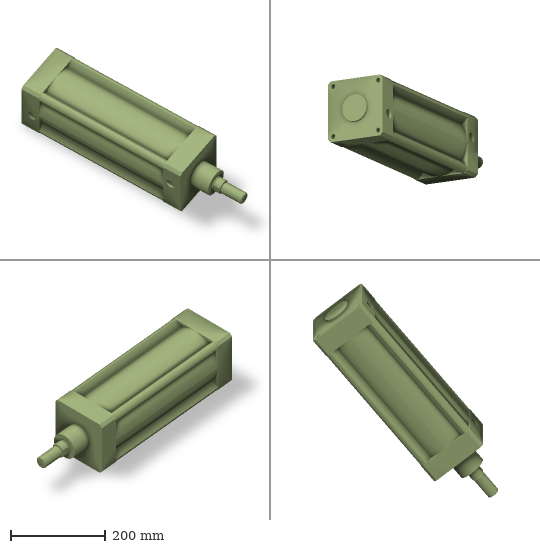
import cadquery as cq

overall_length = 535.0

cap_width = 134.0
cap_length = 45.0
cap_corner_radius = 90.0
boss_radius = 30.0
boss_chamfer = 1.0
rear_boss_length = 5.5
front_boss_length = cap_length

barrel_length = 321.0
barrel_radius = 66.5
ridge_half_width = 7.5
arm_corner_radius = 13.0
arm_root_radius = 1.5

socket_spacing = 109.5
socket_radius = 5.0
socket_flare = 1.0
socket_depth = 10.5

port_radius = 9.5
port_flare = 1.0
port_depth = 21.5
port_height = 14.5
port_setback = 18.0

neck_radius = 16.0
neck_length = 20.5
ring_groove_setback = 3.0
ring_groove_width = 1.5
ring_groove_depth = 1.0
flat_spacing = 27.5
undercut_length = 1.0
undercut_radius = 11.0
thread_radius = 13.5
thread_chamfer = 1.5

half_width = cap_width / 2
rear_cap_start = rear_boss_length
barrel_start = rear_cap_start + cap_length
front_cap_start = barrel_start + barrel_length
front_boss_start = front_cap_start + cap_length
rod_start = front_boss_start + front_boss_length


def cylinder_along_x(start, length, radius):
    return cq.Workplane("YZ", origin=(start, 0, 0)).circle(radius).extrude(length)


def flared_hole(mouth, direction, radius, flare, depth):
    """Blind hole cutter with a 45 degree flare at its mouth."""
    bore = cq.Solid.makeCylinder(radius, depth, mouth, direction)
    cone = cq.Solid.makeCone(radius + flare, radius, flare, mouth, direction)
    return cq.Workplane(bore).union(cq.Workplane(cone))


def cap_block(start):
    """Square cap with its corners turned off about the cylinder axis."""
    block = cq.Workplane("YZ", origin=(start, 0, 0)).rect(cap_width, cap_width).extrude(cap_length)
    return block.intersect(cylinder_along_x(start, cap_length, cap_corner_radius))


def air_port(x, z):
    mouth = cq.Vector(x, -half_width, z)
    return flared_hole(mouth, cq.Vector(0, 1, 0), port_radius, port_flare, port_depth)


def make_rear_cap():
    boss = cylinder_along_x(0, rear_boss_length, boss_radius).faces("<X").chamfer(boss_chamfer)
    cap = cap_block(rear_cap_start).union(boss)
    for y_side in (-1, 1):
        for z_side in (-1, 1):
            mouth = cq.Vector(rear_cap_start, y_side * socket_spacing / 2, z_side * socket_spacing / 2)
            cap = cap.cut(flared_hole(mouth, cq.Vector(1, 0, 0), socket_radius, socket_flare, socket_depth))
    return cap.cut(air_port(barrel_start - port_setback, -port_height))


def make_front_cap():
    boss = cylinder_along_x(front_boss_start, front_boss_length, boss_radius)
    cap = cap_block(front_cap_start).union(boss)
    return cap.cut(air_port(front_cap_start + port_setback, port_height))


def corner_arms():
    """Diagonal band whose two ends fill opposite corners with rounded arms."""
    arm_edge = half_width - arm_corner_radius
    return (
        cq.Workplane("YZ", origin=(barrel_start, 0, 0))
        .moveTo(-arm_edge, -half_width)
        .lineTo(half_width, arm_edge)
        .radiusArc((arm_edge, half_width), -arm_corner_radius)
        .lineTo(-half_width, -arm_edge)
        .radiusArc((-arm_edge, -half_width), -arm_corner_radius)
        .close()
        .extrude(barrel_length)
    )


def side_ridge(turn):
    """Low V-shaped ridge rising gently from the tube and peaking level with the cap faces."""
    foot_height = (barrel_radius**2 - ridge_half_width**2) ** 0.5
    right_foot = (ridge_half_width, foot_height)
    left_foot = (-ridge_half_width, foot_height)
    peak = (0, half_width)
    ridge = (
        cq.Workplane("YZ", origin=(barrel_start, 0, 0))
        .polyline([(0, 0), right_foot, peak, left_foot])
        .close()
        .extrude(barrel_length)
    )
    return ridge.rotate((0, 0, 0), (1, 0, 0), turn)


def make_barrel():
    tube = cylinder_along_x(barrel_start, barrel_length, barrel_radius)
    arms = corner_arms()
    barrel = tube.union(arms).union(arms.mirror("XZ"))

    root_tolerance = 0.05
    roots = []
    for edge in barrel.edges("|X").vals():
        centre = edge.Center()
        if abs((centre.y**2 + centre.z**2) ** 0.5 - barrel_radius) < root_tolerance:
            if min(abs(centre.y), abs(centre.z)) > ridge_half_width:
                roots.append(edge)
    barrel = barrel.newObject(roots).fillet(arm_root_radius)

    for turn in (0, 90, 180, 270):
        barrel = barrel.union(side_ridge(turn))
    return barrel


def make_piston_rod():
    neck = cylinder_along_x(rod_start, neck_length, neck_radius)

    groove_start = rod_start + ring_groove_setback
    groove = cylinder_along_x(groove_start, ring_groove_width, neck_radius)
    groove = groove.cut(cylinder_along_x(groove_start, ring_groove_width, neck_radius - ring_groove_depth))
    neck = neck.cut(groove)

    neck_end = rod_start + neck_length
    flats_length = neck_end - groove_start
    flats_centre = (groove_start + flats_length / 2, 0, 0)
    blank = cq.Workplane("XY").box(flats_length, 2 * neck_radius, 2 * neck_radius)
    kept = cq.Workplane("XY").box(flats_length, flat_spacing, 2 * neck_radius)
    neck = neck.cut(blank.cut(kept).translate(flats_centre))

    undercut = cylinder_along_x(neck_end, undercut_length, undercut_radius)
    thread_start = neck_end + undercut_length
    thread = cylinder_along_x(thread_start, overall_length - thread_start, thread_radius)
    thread = thread.faces("<X or >X").chamfer(thread_chamfer)
    return neck.union(undercut).union(thread)


rear_cap = make_rear_cap()
barrel = make_barrel()
front_cap = make_front_cap()
piston_rod = make_piston_rod()

result = cq.Compound.makeCompound([rear_cap.val(), barrel.val(), front_cap.val(), piston_rod.val()])